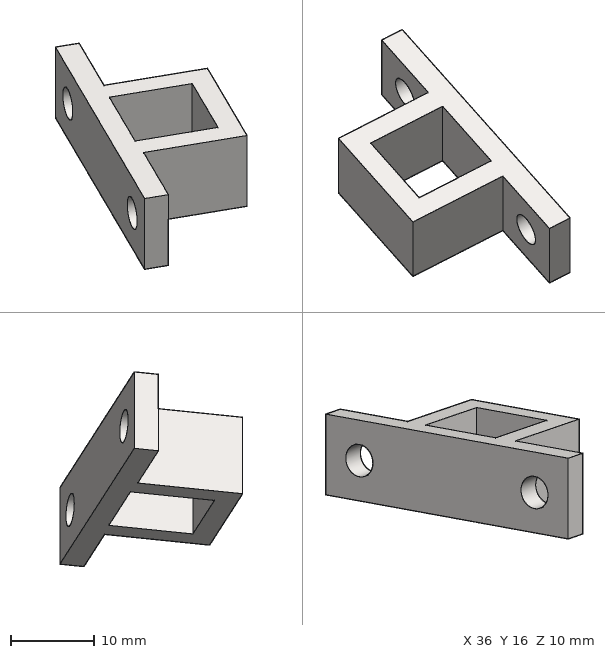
import cadquery as cq

plate_length = 36.0
plate_thickness = 3.0
height = 10.0

socket_size = 16.0
opening_size = 10.4

hole_diameter = 4.0
hole_end_distance = 5.0
hole_spacing = plate_length - 2 * hole_end_distance

plate = cq.Workplane("XY").box(
    plate_length, plate_thickness, height, centered=(True, False, True)
)
socket = cq.Workplane("XY").box(
    socket_size, socket_size, height, centered=(True, False, True)
)

opening = (
    cq.Workplane("XY")
    .center(0, socket_size / 2)
    .rect(opening_size, opening_size)
    .extrude(height / 2, both=True)
)

screw_holes = (
    cq.Workplane("XZ")
    .pushPoints([(-hole_spacing / 2, 0), (hole_spacing / 2, 0)])
    .circle(hole_diameter / 2)
    .extrude(-plate_thickness)
)

result = plate.union(socket).cut(opening).cut(screw_holes)